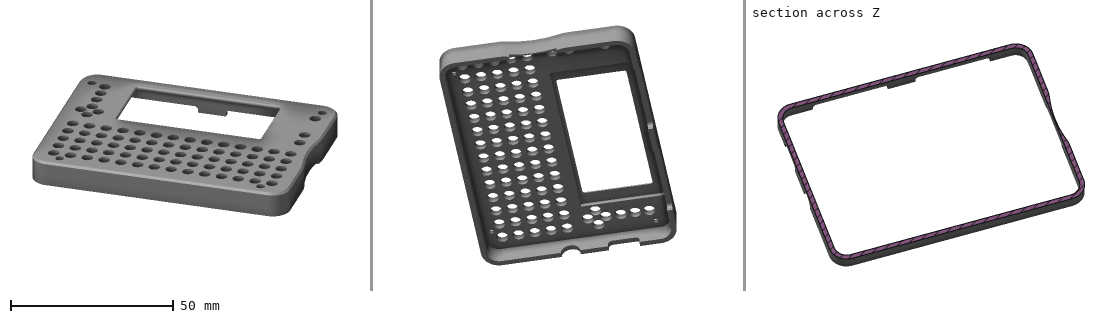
import cadquery as cq

LENGTH = 82.7
WIDTH = 61.2
HEIGHT = 7.9
CORNER_RADIUS = 5.6
EDGE_CHAMFER = 0.7
WALL = 1.65
PLATE_THICKNESS = 2.1

RECESS_CENTER_Y = -0.5
RECESS_DEPTH = 1.2
RECESS_WIDTH = 19.2
RECESS_BLEND = 8.3
RECESS_GAP_WIDTH = 14.9
RECESS_GAP_HEIGHT = 1.0

WINDOW_LENGTH = 46.3
WINDOW_WIDTH = 22.0
WINDOW_CENTER_Y = 14.55
WINDOW_RADIUS = 0.7
WINDOW_ROUNDING = 0.7
WINDOW_PLATE = 0.8
POCKET_LENGTH = 54.6
POCKET_MARGIN = 1.2

KEY_DIAMETER = 3.6
KEY_COLUMNS = 14
KEY_ROWS = 5
KEY_GRID_LENGTH = 70.2
KEY_GRID_WIDTH = 20.3
KEY_GRID_CENTER_Y = -13.6

BUTTON_DIAMETER = 3.6
BUTTON_COLUMN_X = -32.6
BUTTON_COLUMN_TOP = 22.65
BUTTON_COLUMN_LENGTH = 8.85
BUTTON_COLUMN_COUNT = 3
PAD_CENTER_Y = 6.3
PAD_REACH = 2.8
SIDE_BUTTONS = [(35.6, 21.1), (35.6, 9.75), (35.6, 4.5)]

SCREW_DIAMETER = 1.4
SCREW_HEAD_DIAMETER = 2.7
SCREW_HEAD_DEPTH = 1.2
SCREWS = [(-37.1, 23.9), (36.6, 25.3), (-32.3, -26.7), (32.3, -26.7)]

SIDE_SLOT_HEIGHT = 2.4
SLOT_RADIUS = 1.15
SIDE_SLOT_CENTER_Y = 13.4
SIDE_SLOT_WIDTH = 9.75
ARCH_CENTER_Y = -3.3
ARCH_RADIUS = 3.0
BACK_SLOT_CENTER_X = 16.6
BACK_SLOT_WIDTH = 24.3
BACK_SLOT_HEIGHT = 2.1

X_MAX = LENGTH / 2
Y_MAX = WIDTH / 2
PLATE_BOTTOM = HEIGHT - PLATE_THICKNESS


def rounded_box(length, width, height, radius):
    """Box on the XY plane, centred on the origin, with rounded upright edges."""
    return cq.Workplane("XY").rect(length, width).extrude(height).edges("|Z").fillet(radius)


def round_upright_edge(solid, point, radius):
    """Fillets the vertical edge that stands at the given XY point."""
    x, y = point
    return solid.edges("|Z").edges(cq.NearestToPointSelector((x, y, 0))).fillet(radius)


def outer_block():
    """Rounded block with the finger recess in its +X side."""
    recess_front = RECESS_CENTER_Y - RECESS_WIDTH / 2
    recess_back = RECESS_CENTER_Y + RECESS_WIDTH / 2
    recess_floor = (X_MAX - RECESS_DEPTH, RECESS_CENTER_Y)
    block = (
        cq.Workplane("XY")
        .moveTo(X_MAX, -Y_MAX)
        .lineTo(X_MAX, recess_front)
        .threePointArc(recess_floor, (X_MAX, recess_back))
        .lineTo(X_MAX, Y_MAX)
        .lineTo(-X_MAX, Y_MAX)
        .lineTo(-X_MAX, -Y_MAX)
        .close()
        .extrude(HEIGHT)
    )
    for corner in [(x, y) for x in (-X_MAX, X_MAX) for y in (-Y_MAX, Y_MAX)]:
        block = round_upright_edge(block, corner, CORNER_RADIUS)
    for y in (recess_front, recess_back):
        block = round_upright_edge(block, (X_MAX, y), RECESS_BLEND)
    return block


def shell():
    """Chamfered block, hollowed from below to leave the walls and the top plate."""
    cavity = rounded_box(LENGTH - 2 * WALL, WIDTH - 2 * WALL, PLATE_BOTTOM, CORNER_RADIUS - WALL)
    return outer_block().faces(">Z").edges().chamfer(EDGE_CHAMFER).cut(cavity)


def add_window(plate):
    """Cuts the window and rounds its top edge."""
    opening = rounded_box(WINDOW_LENGTH, WINDOW_WIDTH, HEIGHT, WINDOW_RADIUS)
    opening = opening.translate((0, WINDOW_CENTER_Y, 0))
    reach_x = WINDOW_LENGTH / 2 + WALL
    reach_y = WINDOW_WIDTH / 2 + WALL
    rim = cq.selectors.BoxSelector(
        (-reach_x, WINDOW_CENTER_Y - reach_y, PLATE_BOTTOM),
        (reach_x, WINDOW_CENTER_Y + reach_y, HEIGHT + WALL),
    )
    return plate.cut(opening).faces(">Z").edges(rim).fillet(WINDOW_ROUNDING)


def window_pocket():
    """Thins the plate under the window, back to the inside of the rear wall."""
    front_y = WINDOW_CENTER_Y - WINDOW_WIDTH / 2 - POCKET_MARGIN
    back_y = Y_MAX - WALL
    return (
        cq.Workplane("XY")
        .center(0, (front_y + back_y) / 2)
        .rect(POCKET_LENGTH, back_y - front_y)
        .extrude(HEIGHT - WINDOW_PLATE)
    )


def holes(points, diameter, bottom):
    """Upright cylinders at the given points, from bottom up to the top face."""
    return (
        cq.Workplane("XY")
        .workplane(offset=bottom)
        .pushPoints(points)
        .circle(diameter / 2)
        .extrude(HEIGHT - bottom)
    )


def key_holes():
    pitch_x = KEY_GRID_LENGTH / (KEY_COLUMNS - 1)
    pitch_y = KEY_GRID_WIDTH / (KEY_ROWS - 1)
    return (
        cq.Workplane("XY")
        .center(0, KEY_GRID_CENTER_Y)
        .rarray(pitch_x, pitch_y, KEY_COLUMNS, KEY_ROWS)
        .circle(KEY_DIAMETER / 2)
        .extrude(HEIGHT)
    )


def button_holes():
    """Column of buttons, the four-way pad below it and the buttons at the +X side."""
    pitch = BUTTON_COLUMN_LENGTH / (BUTTON_COLUMN_COUNT - 1)
    column = [
        (BUTTON_COLUMN_X, BUTTON_COLUMN_TOP - i * pitch)
        for i in range(BUTTON_COLUMN_COUNT)
    ]
    pad = [
        (BUTTON_COLUMN_X + PAD_REACH * dx, PAD_CENTER_Y + PAD_REACH * dy)
        for dx, dy in [(1, 0), (0, 1), (-1, 0), (0, -1)]
    ]
    return holes(column + pad + SIDE_BUTTONS, BUTTON_DIAMETER, 0)


def screw_holes():
    shanks = holes(SCREWS, SCREW_DIAMETER, 0)
    heads = holes(SCREWS, SCREW_HEAD_DIAMETER, HEIGHT - SCREW_HEAD_DEPTH)
    return shanks.union(heads)


def slot(width, height):
    """Cutter through a wall that faces Y, standing on the rim, with rounded upper corners."""
    return (
        cq.Workplane("XY")
        .rect(width, WALL)
        .extrude(height)
        .faces(">Z")
        .edges("|Y")
        .fillet(SLOT_RADIUS)
    )


def wall_openings():
    """Slot and arch in the -X wall, two slots in the +Y wall, low gap at the finger recess."""
    left_x = -X_MAX + WALL / 2
    back_y = Y_MAX - WALL / 2
    side = slot(SIDE_SLOT_WIDTH, SIDE_SLOT_HEIGHT).rotate((0, 0, 0), (0, 0, 1), 90)
    cuts = side.translate((left_x, SIDE_SLOT_CENTER_Y, 0))
    for x in (-BACK_SLOT_CENTER_X, BACK_SLOT_CENTER_X):
        cuts = cuts.union(slot(BACK_SLOT_WIDTH, BACK_SLOT_HEIGHT).translate((x, back_y, 0)))
    arch = (
        cq.Workplane("YZ")
        .workplane(offset=-X_MAX)
        .center(ARCH_CENTER_Y, 0)
        .circle(ARCH_RADIUS)
        .extrude(WALL)
    )
    gap_depth = RECESS_DEPTH + WALL
    gap = (
        cq.Workplane("XY")
        .center(X_MAX - gap_depth / 2, RECESS_CENTER_Y)
        .rect(gap_depth, RECESS_GAP_WIDTH)
        .extrude(RECESS_GAP_HEIGHT)
    )
    return cuts.union(arch).union(gap)


result = (
    add_window(shell().cut(window_pocket()))
    .cut(key_holes())
    .cut(button_holes())
    .cut(screw_holes())
    .cut(wall_openings())
)